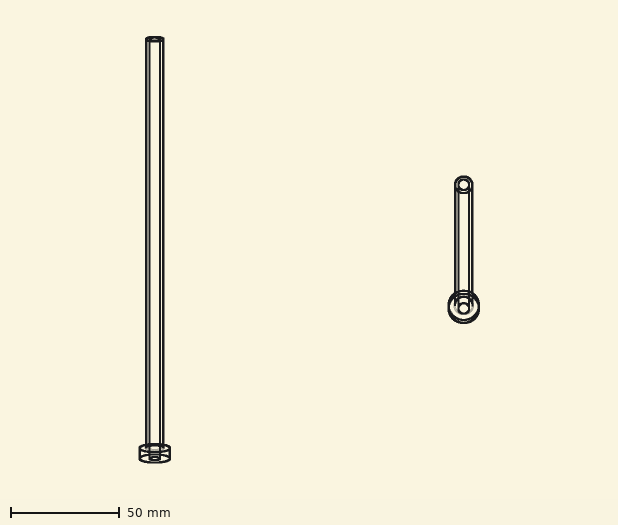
import cadquery as cq

total_length = 200.0
head_diameter = 14.0
head_height = 5.0
shaft_diameter = 8.0
bore_diameter = 5.0
root_fillet = 0.5

head_radius = head_diameter / 2
shaft_radius = shaft_diameter / 2
bore_radius = bore_diameter / 2

fillet_top = head_height + root_fillet
fillet_outer_radius = shaft_radius + root_fillet
half_section = (
    cq.Workplane("XZ")
    .moveTo(-bore_radius, 0)
    .lineTo(-head_radius, 0)
    .lineTo(-head_radius, head_height)
    .lineTo(-fillet_outer_radius, head_height)
    .radiusArc((-shaft_radius, fillet_top), -root_fillet)
    .lineTo(-shaft_radius, total_length)
    .lineTo(-bore_radius, total_length)
    .close()
)

result = half_section.revolve(360, (0, 0), (0, 1))